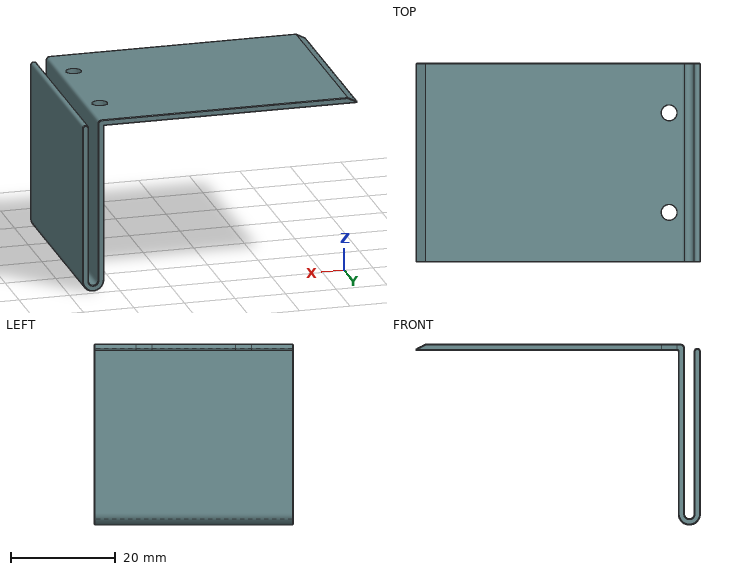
import cadquery as cq

length = 54.25
width = 38.0
height = 34.5

thickness = 1.2
hook_gap = 1.85
corner_radius = 0.75
inner_corner_radius = 0.15
lip_drop = 0.8
edge_chamfer = 0.15

bevel_length = 1.8
nose_height = 0.25

hole_diameter = 3.0
hole_spacing = 19.0
hole_from_back = 5.95

shelf_bottom = height - thickness
leg_inside = length - thickness
web_back = leg_inside - hook_gap
web_front = web_back - thickness
bend_inner_radius = hook_gap / 2
bend_outer_radius = bend_inner_radius + thickness
bend_x = web_back + bend_inner_radius
bend_z = bend_outer_radius
tip_radius = thickness / 2
leg_top = height - lip_drop


def bracket_profile():
    """Side outline of the bent sheet, drawn in XZ and centred on Y = 0."""
    return (
        cq.Workplane("XZ", origin=(0, width / 2, 0))
        .moveTo(0, shelf_bottom)
        .lineTo(0, shelf_bottom + nose_height)
        .lineTo(bevel_length, height)
        .lineTo(web_back - corner_radius, height)
        .tangentArcPoint((web_back, height - corner_radius), relative=False)
        .lineTo(web_back, bend_z)
        .threePointArc((bend_x, bend_z - bend_inner_radius), (leg_inside, bend_z))
        .lineTo(leg_inside, leg_top - tip_radius)
        .threePointArc((length - tip_radius, leg_top), (length, leg_top - tip_radius))
        .lineTo(length, bend_z)
        .threePointArc((bend_x, bend_z - bend_outer_radius), (web_front, bend_z))
        .lineTo(web_front, shelf_bottom - inner_corner_radius)
        .tangentArcPoint((web_front - inner_corner_radius, shelf_bottom), relative=False)
        .close()
    )


def mounting_holes():
    """Two vertical cutters, long enough to pass through the shelf only."""
    return (
        cq.Workplane("XY", origin=(length - hole_from_back, 0, shelf_bottom - thickness))
        .pushPoints([(0, side * hole_spacing / 2) for side in (-1, 1)])
        .circle(hole_diameter / 2)
        .extrude(3 * thickness)
    )


sheet = bracket_profile().extrude(width)
bracket = sheet.faces("<Y or >Y").edges().chamfer(edge_chamfer)
result = bracket.cut(mounting_holes())